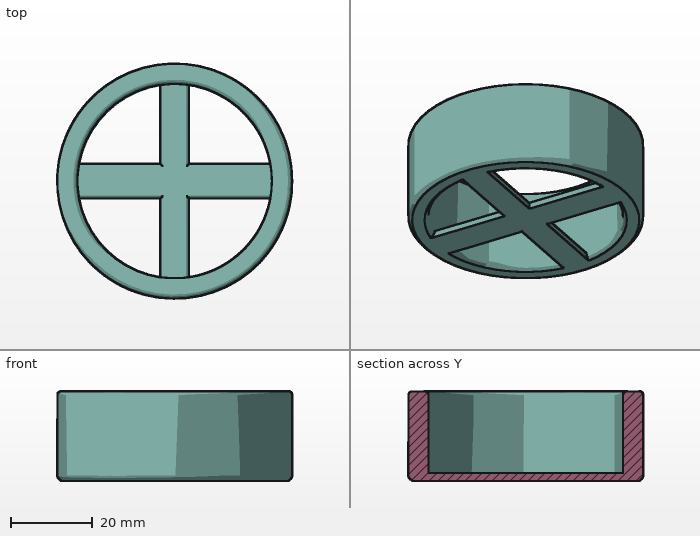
import cadquery as cq

outer_diameter = 57.5
bore_diameter = 47.5
height = 22.0
edge_round = 1.0
bottom_chamfer = 1.0

spoke_x_width = 8.5
spoke_y_width = 7.1
spoke_thickness = 2.0
spoke_round = 0.7

outer_radius = outer_diameter / 2
bore_radius = bore_diameter / 2
spoke_length = (outer_diameter + bore_diameter) / 2


def make_ring():
    """Ring with rounded top edges and bottom bevels blended into its walls."""
    ring = cq.Workplane("XY").circle(outer_radius).circle(bore_radius).extrude(height)
    ring = ring.faces("<Z").edges().chamfer(bottom_chamfer)
    return ring.edges("%CIRCLE and (not <Z)").fillet(edge_round)


def make_spokes():
    """Two crossing bars with rounded top edges."""
    along_x = cq.Workplane("XY").rect(spoke_length, spoke_x_width).extrude(spoke_thickness)
    along_y = cq.Workplane("XY").rect(spoke_y_width, spoke_length).extrude(spoke_thickness)
    along_x = along_x.edges("|X and >Z").fillet(spoke_round)
    along_y = along_y.edges("|Y and >Z").fillet(spoke_round)
    return along_x.union(along_y)


result = make_ring().union(make_spokes())